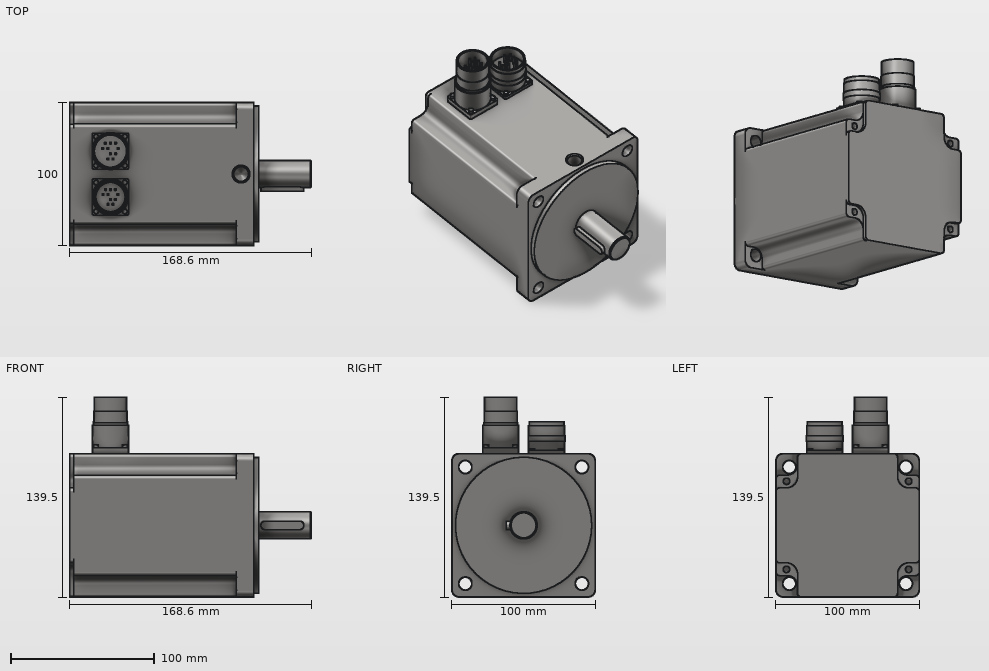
import cadquery as cq
import math

frame_size = 100.05
rear_cover_thickness = 2.7
housing_end_x = 116.3
housing_notch = 15.0
housing_notch_radius = 7.2
housing_edge_radius = 2.6

cover_notch_width = 15.2
cover_notch_height = 23.9
cover_notch_radius = 8.0
cover_edge_radius = 2.6
screw_from_side = 7.4
screw_from_top = 19.3
screw_hole_diameter = 4.5
screw_hole_depth = 10.0

flange_thickness = 12.2
flange_corner_radius = 5.0
bolt_circle_diameter = 115.0
bolt_hole_diameter = 9.0
pilot_diameter = 95.0
pilot_height = 3.5
shaft_diameter = 19.0
shaft_end_x = 168.6
shaft_chamfer = 0.8
key_length = 30.0
key_width = 6.0
key_reach = 12.1
key_gap = 1.3

access_hole_x = 119.5
access_hole_diameter = 10.3
access_hole_mouth_diameter = 12.3
access_hole_depth = 12.0
drill_point_angle = 118.0

connector_x = 28.4
connector_offset_y = 16.0
plate_size = 25.2
plate_corner_radius = 1.0
plate_screw_pitch = 20.0
plate_screw_diameter = 3.3
pin_diameter = 1.3
pin_embedment = 0.5
pin_sites = [
    (-2, 3), (0, 3), (2, 3),
    (-3, 1), (-1, 1), (3, 1),
    (0, -1), (2, -1),
    (-1, -3), (1, -3),
]

half_frame = frame_size / 2
flange_end_x = housing_end_x + flange_thickness
pilot_end_x = flange_end_x + pilot_height


def notched_block(start_x, end_x, notch_width, notch_height, notch_radius, edge_radius):
    """Square bar along X with a rounded rectangular notch along each corner."""
    length = end_x - start_x
    bar = cq.Workplane("YZ").workplane(offset=start_x).rect(frame_size, frame_size).extrude(length)
    notches = (
        cq.Workplane("YZ")
        .workplane(offset=start_x)
        .rect(frame_size, frame_size, forConstruction=True)
        .vertices()
        .rect(2 * notch_width, 2 * notch_height)
        .extrude(length)
        .edges("|X")
        .fillet(notch_radius)
    )
    bar = bar.cut(notches)
    outer = half_frame - edge_radius / 2
    side_edges = bar.edges("|X").filter(
        lambda edge: max(abs(edge.Center().y), abs(edge.Center().z)) > outer
    )
    return side_edges.fillet(edge_radius)


def make_housing():
    housing = notched_block(
        rear_cover_thickness, housing_end_x,
        housing_notch, housing_notch, housing_notch_radius, housing_edge_radius,
    )
    screw_holes = (
        cq.Workplane("YZ")
        .workplane(offset=rear_cover_thickness)
        .rect(frame_size - 2 * screw_from_side, frame_size - 2 * screw_from_top, forConstruction=True)
        .vertices()
        .circle(screw_hole_diameter / 2)
        .extrude(screw_hole_depth)
    )
    return housing.cut(screw_holes)


def make_rear_cover():
    return notched_block(
        0, rear_cover_thickness,
        cover_notch_width, cover_notch_height, cover_notch_radius, cover_edge_radius,
    )


def make_flange():
    bolt_spacing = bolt_circle_diameter / math.sqrt(2)
    flange = (
        cq.Workplane("YZ")
        .workplane(offset=housing_end_x)
        .rect(frame_size, frame_size)
        .extrude(flange_thickness)
        .edges("|X")
        .fillet(flange_corner_radius)
        .faces(">X")
        .workplane()
        .rect(bolt_spacing, bolt_spacing, forConstruction=True)
        .vertices()
        .hole(bolt_hole_diameter)
    )
    pilot = (
        cq.Workplane("YZ")
        .workplane(offset=flange_end_x)
        .circle(pilot_diameter / 2)
        .extrude(pilot_height)
    )
    return flange.union(pilot)


def make_shaft():
    shaft = (
        cq.Workplane("YZ")
        .workplane(offset=pilot_end_x)
        .circle(shaft_diameter / 2)
        .extrude(shaft_end_x - pilot_end_x)
        .faces(">X")
        .chamfer(shaft_chamfer)
    )
    key = (
        cq.Workplane("XZ")
        .center(pilot_end_x + key_gap + key_length / 2, 0)
        .slot2D(key_length, key_width)
        .extrude(key_reach)
    )
    return shaft.union(key)


def make_access_hole():
    """Conical-bottomed hole with a countersunk mouth, revolved about a vertical axis."""
    bore_radius = access_hole_diameter / 2
    mouth_radius = access_hole_mouth_diameter / 2
    countersink = mouth_radius - bore_radius
    point_depth = bore_radius / math.tan(math.radians(drill_point_angle / 2))
    return (
        cq.Workplane("XZ", origin=(access_hole_x, 0, half_frame))
        .moveTo(0, 0)
        .lineTo(mouth_radius, 0)
        .lineTo(bore_radius, -countersink)
        .lineTo(bore_radius, -access_hole_depth)
        .lineTo(0, -access_hole_depth - point_depth)
        .close()
        .revolve(360, (0, 0, 0), (0, 1, 0))
    )


def make_connector(y, plate_height, screw_head_height, steps, bore_diameter, floor_height,
                   pin_length, pin_half_column, pin_half_row):
    """Panel connector; steps lists (diameter, top height) of its barrel from the top face up."""
    base = cq.Workplane("XY", origin=(connector_x, y, half_frame))
    connector = (
        base.rect(plate_size, plate_size)
        .extrude(plate_height)
        .edges("|Z")
        .fillet(plate_corner_radius)
    )
    screw_heads = (
        base.rect(plate_screw_pitch, plate_screw_pitch, forConstruction=True)
        .vertices()
        .circle(plate_screw_diameter / 2)
        .extrude(plate_height + screw_head_height)
    )
    connector = connector.union(screw_heads)
    bottom = 0
    for diameter, top in steps:
        step = base.workplane(offset=bottom).circle(diameter / 2).extrude(top - bottom)
        connector = connector.union(step)
        bottom = top
    rim_height = bottom
    bore = base.workplane(offset=floor_height).circle(bore_diameter / 2).extrude(rim_height - floor_height)
    pins = (
        base.workplane(offset=floor_height - pin_embedment)
        .pushPoints([(column * pin_half_column, row * pin_half_row) for column, row in pin_sites])
        .circle(pin_diameter / 2)
        .extrude(pin_length + pin_embedment)
    )
    return connector.cut(bore).union(pins)


def make_short_connector():
    return make_connector(
        y=connector_offset_y,
        plate_height=2.4,
        screw_head_height=1.1,
        steps=[(25.2, 8.5), (25.8, 12.6), (25.2, 19.3), (24.4, 22.4)],
        bore_diameter=22.4,
        floor_height=14.5,
        pin_length=6.3,
        pin_half_column=1.8,
        pin_half_row=1.85,
    )


def make_tall_connector():
    return make_connector(
        y=-connector_offset_y,
        plate_height=4.1,
        screw_head_height=2.0,
        steps=[(25.2, 19.8), (23.6, 21.7), (23.2, 29.5), (22.7, 39.48)],
        bore_diameter=20.4,
        floor_height=25.0,
        pin_length=11.5,
        pin_half_column=1.72,
        pin_half_row=1.72,
    )


result = (
    make_housing()
    .union(make_rear_cover())
    .union(make_flange())
    .union(make_shaft())
    .cut(make_access_hole())
    .union(make_short_connector())
    .union(make_tall_connector())
)